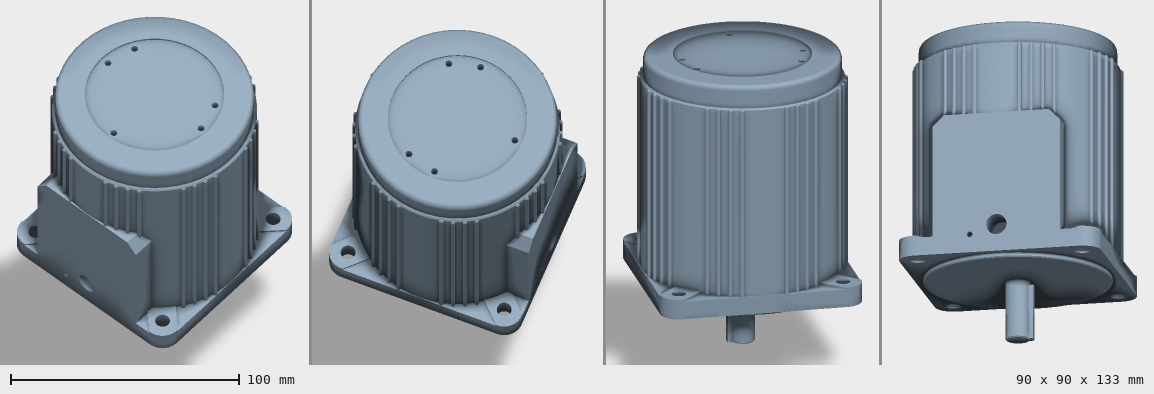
import cadquery as cq
import math


FLANGE_WIDTH = 90.0
FLANGE_HEIGHT = 8.1
BOLT_CIRCLE_RADIUS = 52.0
BOLT_HOLE_DIAMETER = 6.5
PAD_WIDTH = 12.6
PAD_RISE = 0.9

BOSS_DIAMETER = 83.0
BOSS_HEIGHT = 2.0
BOSS_CHAMFER = 0.5

HOUSING_DIAMETER = 89.6
HOUSING_TOP = 95.0
HOUSING_CHAMFER = 0.7
RIB_DIAMETER = 1.9
RIB_CIRCLE_RADIUS = 45.1
RIB_FIRST_ANGLE = 12.8
RIB_PITCH_ANGLE = 6.6
RIBS_PER_GROUP = 4

CAP_DIAMETER = 86.8
CAP_TOP = 105.0
CAP_FILLET = 2.1
CAP_RECESS_DIAMETER = 60.9
CAP_RECESS_DEPTH = 0.8
CAP_HOLE_CIRCLE_RADIUS = 27.0
CAP_HOLE_ANGLES = (0, 30, 150, 180, 270)
CAP_HOLE_DIAMETER = 3.0
CAP_HOLE_FLOOR_DIAMETER = 1.3
CAP_HOLE_DEPTH = 4.0

BOX_WIDTH = 57.0
BOX_TOP = 63.0
BOX_CHAMFER = 5.0
CABLE_HOLE_DIAMETER = 9.0
CABLE_HOLE_Z = 12.1
CABLE_HOLE_DEPTH = 13.3
SCREW_HOLE_DIAMETER = 2.5
SCREW_HOLE_X = -12.0
SCREW_HOLE_Z = 8.1
SCREW_HOLE_DEPTH = 5.0

TOTAL_LENGTH = 133.0
SHAFT_DIAMETER = 11.0
SHAFT_CHAMFER = 0.5
KEY_WIDTH = 4.0
KEY_LENGTH = 25.0
KEY_OUTER_X = 7.0

FLANGE_EDGE = FLANGE_WIDTH / 2
BOLT_OFFSET = BOLT_CIRCLE_RADIUS / math.sqrt(2)
CORNER_RADIUS = FLANGE_EDGE - BOLT_OFFSET
SHAFT_TIP_Z = CAP_TOP - TOTAL_LENGTH
CAP_RECESS_FLOOR = CAP_TOP - CAP_RECESS_DEPTH
KEY_INNER_X = KEY_OUTER_X - KEY_WIDTH


def rounded_square(height):
    """Flange outline, extruded up from the mounting face."""
    block = cq.Workplane("XY").rect(FLANGE_WIDTH, FLANGE_WIDTH).extrude(height)
    return block.edges("|Z").fillet(CORNER_RADIUS)


def make_flange():
    """Flange with raised diagonal bands that form a pad at every corner."""
    pad_top = FLANGE_HEIGHT + PAD_RISE
    diagonal = FLANGE_WIDTH * math.sqrt(2)
    bands = cq.Workplane("XY")
    for angle in (45, 135):
        band = cq.Workplane("XY").rect(diagonal, PAD_WIDTH).extrude(pad_top)
        bands = bands.add(band.rotate((0, 0, 0), (0, 0, 1), angle))
    pads = rounded_square(pad_top).intersect(bands.combine())
    return rounded_square(FLANGE_HEIGHT).union(pads)


def make_boss():
    boss = cq.Workplane("XY").circle(BOSS_DIAMETER / 2).extrude(-BOSS_HEIGHT)
    return boss.faces("<Z").chamfer(BOSS_CHAMFER)


def rib_places():
    """Centres of the ribs: one group on each side of every axis direction."""
    places = []
    for axis_angle in range(0, 360, 90):
        for side in (-1, 1):
            for index in range(RIBS_PER_GROUP):
                angle = math.radians(axis_angle + side * (RIB_FIRST_ANGLE + index * RIB_PITCH_ANGLE))
                places.append((RIB_CIRCLE_RADIUS * math.cos(angle), RIB_CIRCLE_RADIUS * math.sin(angle)))
    return places


def make_housing():
    """Round barrel with round ribs, all bevelled alike at the top."""
    barrel = cq.Workplane("XY").circle(HOUSING_DIAMETER / 2).extrude(HOUSING_TOP)
    barrel = barrel.faces(">Z").chamfer(HOUSING_CHAMFER)
    ribs = cq.Workplane("XY").pushPoints(rib_places()).circle(RIB_DIAMETER / 2).extrude(HOUSING_TOP)
    ribs = ribs.faces(">Z").chamfer(HOUSING_CHAMFER)
    return barrel.union(ribs)


def make_cap():
    cap = cq.Workplane("XY").workplane(offset=FLANGE_HEIGHT).circle(CAP_DIAMETER / 2)
    cap = cap.extrude(CAP_TOP - FLANGE_HEIGHT)
    return cap.faces(">Z").edges().fillet(CAP_FILLET)


def make_terminal_box():
    box = (
        cq.Workplane("XY")
        .box(BOX_WIDTH, FLANGE_EDGE, BOX_TOP, centered=(True, False, False))
        .translate((0, -FLANGE_EDGE, 0))
    )
    return box.edges("|Y and >Z").chamfer(BOX_CHAMFER)


def make_shaft():
    shaft = cq.Workplane("XY").circle(SHAFT_DIAMETER / 2).extrude(SHAFT_TIP_Z)
    return shaft.faces("<Z").chamfer(SHAFT_CHAMFER)


def bolt_holes():
    spacing = 2 * BOLT_OFFSET
    holes = cq.Workplane("XY").rect(spacing, spacing, forConstruction=True).vertices()
    return holes.circle(BOLT_HOLE_DIAMETER / 2).extrude(FLANGE_HEIGHT + PAD_RISE)


def cap_recess():
    recess = cq.Workplane("XY").workplane(offset=CAP_RECESS_FLOOR)
    return recess.circle(CAP_RECESS_DIAMETER / 2).extrude(CAP_RECESS_DEPTH)


def cap_holes():
    """Tapered holes in the recess floor, narrowing downwards."""
    direction = cq.Vector(0, 0, -1)
    holes = cq.Workplane("XY")
    for angle in CAP_HOLE_ANGLES:
        x = CAP_HOLE_CIRCLE_RADIUS * math.cos(math.radians(angle))
        y = CAP_HOLE_CIRCLE_RADIUS * math.sin(math.radians(angle))
        mouth = cq.Vector(x, y, CAP_RECESS_FLOOR)
        cone = cq.Solid.makeCone(
            CAP_HOLE_DIAMETER / 2, CAP_HOLE_FLOOR_DIAMETER / 2, CAP_HOLE_DEPTH, mouth, direction
        )
        holes = holes.add(cone)
    return holes.combine()


def box_hole(x, z, diameter, depth):
    """Blind hole drilled towards +Y from the front face of the terminal box."""
    mouth = cq.Vector(x, -FLANGE_EDGE, z)
    return cq.Workplane(cq.Solid.makeCylinder(diameter / 2, depth, mouth, cq.Vector(0, 1, 0)))


def make_key():
    """Key with a round upper end and a flat lower end level with the shaft tip."""
    half_width = KEY_WIDTH / 2
    key_top = SHAFT_TIP_Z + KEY_LENGTH
    return (
        cq.Workplane("YZ")
        .workplane(offset=KEY_INNER_X)
        .moveTo(-half_width, SHAFT_TIP_Z)
        .lineTo(half_width, SHAFT_TIP_Z)
        .lineTo(half_width, key_top - half_width)
        .threePointArc((0, key_top), (-half_width, key_top - half_width))
        .close()
        .extrude(KEY_WIDTH)
    )


def make_motor():
    motor = make_flange()
    for part in (make_boss(), make_housing(), make_cap(), make_terminal_box(), make_shaft()):
        motor = motor.union(part)
    cutters = (
        bolt_holes(),
        cap_recess(),
        cap_holes(),
        box_hole(0, CABLE_HOLE_Z, CABLE_HOLE_DIAMETER, CABLE_HOLE_DEPTH),
        box_hole(SCREW_HOLE_X, SCREW_HOLE_Z, SCREW_HOLE_DIAMETER, SCREW_HOLE_DEPTH),
        make_key(),
    )
    for cutter in cutters:
        motor = motor.cut(cutter)
    return motor


motor = make_motor()
key = make_key()

result = cq.Compound.makeCompound([motor.val(), key.val()])